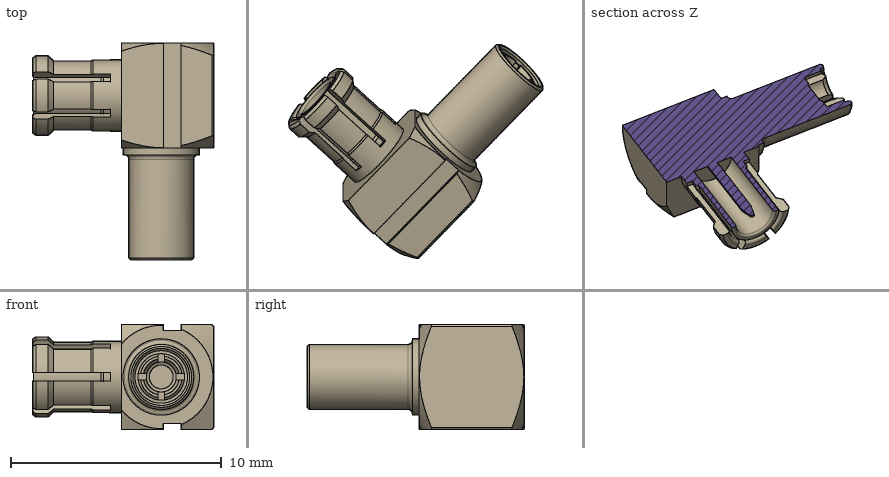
import cadquery as cq
import math


TOTAL_X = 8.6
TOTAL_Y = 10.3
BODY_SIZE = 5.0
HALF_BODY = BODY_SIZE / 2

BODY_LEFT = -1.9
BODY_RIGHT = HALF_BODY
END_CIRCLE_RADIUS = 2.45
CORNER_CONE_ANGLE = 30
SIDE_CHAMFER = 0.1
GROOVE_LEFT = 0.1
GROOVE_WIDTH = 0.84
GROOVE_DEPTH = 0.29

PLUG_TIP = BODY_RIGHT - TOTAL_X
SLEEVE_RADIUS = 1.7
NECK_RADIUS = 1.66
LIP_RADIUS = 1.91
LIP_CHAMFER_HEIGHT = 0.11
LIP_CHAMFER_LENGTH = 0.15
LIP_END = -5.37
NECK_START = -5.1
NECK_END = -3.33
NECK_STEP_LENGTH = 0.09
SLEEVE_BORE_RADIUS = 1.39
SLEEVE_MOUTH_ROUND = 0.15
FINGER_COUNT = 6
FINGER_SLOT_WIDTH = 0.4
FINGER_SLOT_END = -2.41

TUBE_SETBACK = 0.04
TUBE_TIP = PLUG_TIP + TUBE_SETBACK
TUBE_RADIUS = 1.27
TUBE_BORE_RADIUS = 1.0
TUBE_MOUTH_ROUND = 0.12
SEAT_START = -2.85
SEAT_END = -2.73
PIN_SETBACK = 0.32
PIN_TIP = PLUG_TIP + PIN_SETBACK
PIN_RADIUS = 0.27
PIN_TIP_RADIUS = 0.11
PIN_TAPER = 0.62

BARREL_END = HALF_BODY - TOTAL_Y
BARREL_RADIUS = 1.55
BARREL_CHAMFER = 0.1
COLLAR_RADIUS = 1.81
COLLAR_LENGTH = 0.32
COLLAR_FILLET = 0.21

MOUTH_RADIUS = 1.25
MOUTH_CHAMFER = 0.1
MOUTH_DEPTH = 0.26
COLLET_RADIUS = 1.1
COLLET_TIP_RADIUS = 0.99
COLLET_TIP_DEPTH = 0.15
COLLET_FLARE_RADIUS = 0.85
COLLET_FLARE_LENGTH = 0.26
COLLET_BORE_RADIUS = 0.71
COLLET_FLOOR_RADIUS = 0.57
COLLET_FLOOR_CONE_ANGLE = 30
COLLET_SLOT_COUNT = 4
COLLET_SLOT_WIDTH = 0.31
COLLET_SLOT_DEPTH = 1.17


def turn_about_x(points):
    """Solid of revolution from a closed outline of (x, radius) points."""
    outline = cq.Workplane("XY").polyline(points).close()
    return outline.revolve(360, (0, 0, 0), (1, 0, 0))


def turn_about_y(points):
    """Solid of revolution from a closed outline of (radius, y) points."""
    outline = cq.Workplane("XY").polyline(points).close()
    return outline.revolve(360, (0, 0, 0), (0, 1, 0))


def make_body():
    width = BODY_RIGHT - BODY_LEFT
    block = cq.Workplane("XY").box(width, BODY_SIZE, BODY_SIZE)
    block = block.translate((BODY_LEFT + width / 2, 0, 0))
    block = block.edges(">X and |Y").chamfer(SIDE_CHAMFER)

    reach = BODY_SIZE
    cone_drop = (reach - END_CIRCLE_RADIUS) * math.tan(math.radians(CORNER_CONE_ANGLE))
    envelope = turn_about_y([
        (0, -HALF_BODY),
        (END_CIRCLE_RADIUS, -HALF_BODY),
        (reach, -HALF_BODY + cone_drop),
        (reach, HALF_BODY - cone_drop),
        (END_CIRCLE_RADIUS, HALF_BODY),
        (0, HALF_BODY),
    ])
    block = block.intersect(envelope)

    for side in (1, -1):
        groove = cq.Workplane("XY").box(GROOVE_WIDTH, BODY_SIZE, 2 * GROOVE_DEPTH)
        block = block.cut(groove.translate((GROOVE_LEFT + GROOVE_WIDTH / 2, 0, side * HALF_BODY)))
    return block


def make_sleeve():
    mouth_radius = SLEEVE_BORE_RADIUS + SLEEVE_MOUTH_ROUND
    mouth_middle = SLEEVE_MOUTH_ROUND * (1 - math.sqrt(0.5))
    sleeve = (
        cq.Workplane("XY")
        .moveTo(PLUG_TIP, mouth_radius)
        .lineTo(PLUG_TIP, LIP_RADIUS - LIP_CHAMFER_HEIGHT)
        .lineTo(PLUG_TIP + LIP_CHAMFER_LENGTH, LIP_RADIUS)
        .lineTo(LIP_END, LIP_RADIUS)
        .lineTo(NECK_START, NECK_RADIUS)
        .lineTo(NECK_END, NECK_RADIUS)
        .lineTo(NECK_END + NECK_STEP_LENGTH, SLEEVE_RADIUS)
        .lineTo(BODY_LEFT, SLEEVE_RADIUS)
        .lineTo(BODY_LEFT, SLEEVE_BORE_RADIUS)
        .lineTo(PLUG_TIP + SLEEVE_MOUTH_ROUND, SLEEVE_BORE_RADIUS)
        .threePointArc(
            (PLUG_TIP + mouth_middle, SLEEVE_BORE_RADIUS + mouth_middle),
            (PLUG_TIP, mouth_radius),
        )
        .close()
        .revolve(360, (0, 0, 0), (1, 0, 0))
    )

    slot_length = FINGER_SLOT_END - PLUG_TIP
    slot = cq.Workplane("XY").box(slot_length, LIP_RADIUS, FINGER_SLOT_WIDTH)
    slot = slot.translate((PLUG_TIP + slot_length / 2, LIP_RADIUS, 0))
    for index in range(FINGER_COUNT):
        sleeve = sleeve.cut(slot.rotate((0, 0, 0), (1, 0, 0), index * 360 / FINGER_COUNT))
    return sleeve


def make_tube():
    tube = turn_about_x([
        (TUBE_TIP, TUBE_BORE_RADIUS),
        (TUBE_TIP, TUBE_RADIUS),
        (SEAT_START, TUBE_RADIUS),
        (SEAT_END, SLEEVE_BORE_RADIUS),
        (BODY_LEFT, SLEEVE_BORE_RADIUS),
        (BODY_LEFT, TUBE_BORE_RADIUS),
    ])
    mouth_edge = cq.selectors.RadiusNthSelector(0)
    return tube.faces("<X").edges(mouth_edge).fillet(TUBE_MOUTH_ROUND)


def make_pin():
    return turn_about_x([
        (PIN_TIP, 0),
        (PIN_TIP, PIN_TIP_RADIUS),
        (PIN_TIP + PIN_TAPER, PIN_RADIUS),
        (BODY_LEFT, PIN_RADIUS),
        (BODY_LEFT, 0),
    ])


def make_barrel():
    collar_end = -HALF_BODY - COLLAR_LENGTH
    fillet_middle = COLLAR_FILLET * (1 - math.sqrt(0.5))
    return (
        cq.Workplane("XY")
        .moveTo(0, -HALF_BODY)
        .lineTo(COLLAR_RADIUS, -HALF_BODY)
        .lineTo(COLLAR_RADIUS, collar_end)
        .lineTo(BARREL_RADIUS + COLLAR_FILLET, collar_end)
        .threePointArc(
            (BARREL_RADIUS + fillet_middle, collar_end - fillet_middle),
            (BARREL_RADIUS, collar_end - COLLAR_FILLET),
        )
        .lineTo(BARREL_RADIUS, BARREL_END + BARREL_CHAMFER)
        .lineTo(BARREL_RADIUS - BARREL_CHAMFER, BARREL_END)
        .lineTo(0, BARREL_END)
        .close()
        .revolve(360, (0, 0, 0), (0, 1, 0))
    )


def make_collet_recess():
    """Space to remove from the barrel end, leaving the slotted collet standing."""
    tip = BARREL_END + COLLET_TIP_DEPTH
    shoulder = BARREL_END + MOUTH_DEPTH
    slot_floor = BARREL_END + COLLET_SLOT_DEPTH
    floor_cone_slope = math.tan(math.radians(COLLET_FLOOR_CONE_ANGLE))
    floor = slot_floor + (COLLET_BORE_RADIUS - COLLET_FLOOR_RADIUS) * floor_cone_slope
    recess = turn_about_y([
        (0, BARREL_END),
        (MOUTH_RADIUS + MOUTH_CHAMFER, BARREL_END),
        (MOUTH_RADIUS, BARREL_END + MOUTH_CHAMFER),
        (MOUTH_RADIUS, shoulder),
        (COLLET_RADIUS, shoulder),
        (COLLET_TIP_RADIUS, tip),
        (COLLET_FLARE_RADIUS, tip),
        (COLLET_BORE_RADIUS, tip + COLLET_FLARE_LENGTH),
        (COLLET_BORE_RADIUS, slot_floor),
        (COLLET_FLOOR_RADIUS, floor),
        (0, floor),
    ])

    slot_zone = turn_about_y([
        (0, BARREL_END),
        (COLLET_RADIUS, BARREL_END),
        (COLLET_RADIUS, slot_floor),
        (0, slot_floor),
    ])
    slot = cq.Workplane("XY").box(COLLET_RADIUS, COLLET_SLOT_DEPTH, COLLET_SLOT_WIDTH)
    slot = slot.translate((COLLET_RADIUS, BARREL_END + COLLET_SLOT_DEPTH / 2, 0))
    for index in range(COLLET_SLOT_COUNT):
        turned = slot.rotate((0, 0, 0), (0, 1, 0), index * 360 / COLLET_SLOT_COUNT)
        recess = recess.union(turned.intersect(slot_zone))
    return recess


plug = make_sleeve().union(make_tube()).union(make_pin())
barrel = make_barrel().cut(make_collet_recess())
result = make_body().union(plug).union(barrel)